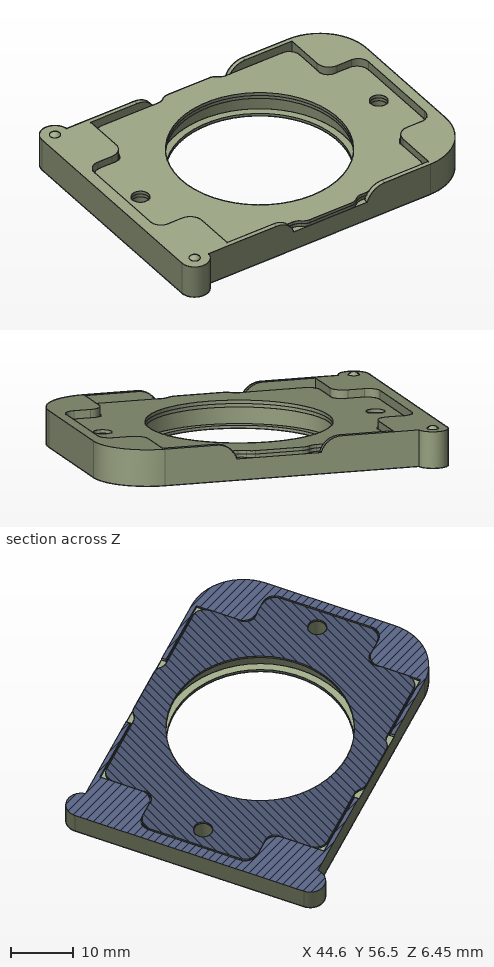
import cadquery as cq
import math

frame_length = 56.45
frame_width = 40.3
frame_height = 6.0
rear_edge_y = 28.1
front_edge_y = rear_edge_y - frame_length
rear_corner_radius = 9.0

overall_width = 44.6
ear_radius = 2.5
ear_x = overall_width / 2 - ear_radius
ear_y = front_edge_y + ear_radius
stud_radius = 0.9
stud_height = 0.45

plate_thickness = 0.55
plate_count = 2
pocket_floor_z = 3.5
pocket_depth = frame_height - pocket_floor_z

wing_half_length = 19.3
tongue_half_width = 9.95

pocket_wing_half_width = 19.35
pocket_tongue_half_length = 26.3
pocket_tongue_radius = 2.0
pocket_inner_radius = 2.25

plate_wing_half_width = 19.15
plate_tongue_half_length = 26.15
plate_tongue_radius = 2.25
plate_inner_radius = 1.7
plate_wing_radius = 2.0
tab_tip_x = frame_width / 2
tab_tip_half_length = 3.95
tab_blend_radius = 2.0

notch_top_half_length = 10.4
notch_radius = 3.5

opening_diameter = 29.9
seat_diameter = 32.4
seat_floor_z = 0.5
small_hole_diameter = 3.0
small_hole_y = 22.85
axis_point = [(0, 0)]
small_hole_points = [(0, small_hole_y), (0, -small_hole_y)]


def arc_run(radius, rise):
    """Distance along the tangent at which an arc has departed from it by `rise`."""
    return math.sqrt(radius**2 - (radius - rise) ** 2)


def centred_block(width, length, height):
    """Block centred on the Z axis and standing on the XY plane."""
    return cq.Workplane("XY").box(width, length, height, centered=(True, True, False))


def cross_prism(wing_half_width, tongue_half_length, tongue_radius, inner_radius, height):
    """Cross-shaped prism with rounded tongues, rounded inner corners and sharp wing corners."""
    wings = centred_block(2 * wing_half_width, 2 * wing_half_length, height)
    tongues = centred_block(2 * tongue_half_width, 2 * tongue_half_length, height)
    cross = wings.union(tongues.edges("|Z").fillet(tongue_radius))

    box_x = (tongue_half_width + wing_half_width) / 2
    box_y = (wing_half_length + tongue_half_length - tongue_radius) / 2
    inner_corners = cq.selectors.BoxSelector((-box_x, -box_y, 0), (box_x, box_y, height))
    return cross.edges("|Z").edges(inner_corners).fillet(inner_radius)


def drill(body, diameter, points, bottom_z, top_z):
    """Cut vertical round holes between two heights."""
    cutter = cq.Workplane("XY").workplane(offset=bottom_z).pushPoints(points)
    return body.cut(cutter.circle(diameter / 2).extrude(top_z - bottom_z))


def frame_blank():
    """Solid slab with large rear corner radii and an ear at each front corner."""
    half_width = frame_width / 2
    ear_tip_x = ear_x + ear_radius
    ear_join_y = ear_y + math.sqrt(ear_radius**2 - (half_width - ear_x) ** 2)
    return (
        cq.Workplane("XY")
        .moveTo(-ear_x, front_edge_y)
        .lineTo(ear_x, front_edge_y)
        .threePointArc((ear_tip_x, ear_y), (half_width, ear_join_y))
        .lineTo(half_width, rear_edge_y)
        .lineTo(-half_width, rear_edge_y)
        .lineTo(-half_width, ear_join_y)
        .threePointArc((-ear_tip_x, ear_y), (-ear_x, front_edge_y))
        .close()
        .extrude(frame_height)
        .edges("|Z and >Y")
        .fillet(rear_corner_radius)
    )


def notch_cutter():
    """Prism across the frame with a convex arc at each end leading down to the notch floor."""
    middle_drop = pocket_depth / 2
    middle_y = notch_top_half_length - arc_run(notch_radius, middle_drop)
    middle_z = frame_height - middle_drop
    floor_y = notch_top_half_length - arc_run(notch_radius, pocket_depth)
    return (
        cq.Workplane("YZ")
        .moveTo(-notch_top_half_length, frame_height)
        .threePointArc((-middle_y, middle_z), (-floor_y, pocket_floor_z))
        .lineTo(floor_y, pocket_floor_z)
        .threePointArc((middle_y, middle_z), (notch_top_half_length, frame_height))
        .close()
        .extrude(frame_width / 2, both=True)
    )


def stud(x):
    """Spherical cap standing on an ear."""
    sphere_radius = (stud_radius**2 + stud_height**2) / (2 * stud_height)
    return (
        cq.Workplane("XZ")
        .lineTo(stud_radius, 0)
        .radiusArc((0, stud_height), -sphere_radius)
        .close()
        .revolve(360, (0, 0), (0, 1))
        .translate((x, ear_y, frame_height))
    )


def make_frame():
    """Frame with the plate pocket, side notches, stepped opening, small holes and studs."""
    pocket = cross_prism(
        pocket_wing_half_width,
        pocket_tongue_half_length,
        pocket_tongue_radius,
        pocket_inner_radius,
        pocket_depth,
    ).translate((0, 0, pocket_floor_z))
    body = frame_blank().cut(pocket).cut(notch_cutter())
    body = drill(body, opening_diameter, axis_point, 0, seat_floor_z)
    body = drill(body, seat_diameter, axis_point, seat_floor_z, pocket_floor_z)
    body = drill(body, small_hole_diameter, small_hole_points, 0, pocket_floor_z)
    for x in (-ear_x, ear_x):
        body = body.union(stud(x))
    return body


def plate_tabs():
    """Bar across the plate whose ends blend into the plate edges through S-curves."""
    rise = (tab_tip_x - plate_wing_half_width) / 2
    run = arc_run(tab_blend_radius, rise)
    half_angle = math.asin(run / tab_blend_radius) / 2
    mid_run = tab_blend_radius * math.sin(half_angle)
    mid_rise = tab_blend_radius * (1 - math.cos(half_angle))
    root_y = tab_tip_half_length + 2 * run
    quarter = (
        cq.Workplane("XY")
        .lineTo(tab_tip_x, 0)
        .lineTo(tab_tip_x, tab_tip_half_length)
        .threePointArc(
            (tab_tip_x - mid_rise, tab_tip_half_length + mid_run),
            (tab_tip_x - rise, tab_tip_half_length + run),
        )
        .threePointArc(
            (plate_wing_half_width + mid_rise, root_y - mid_run),
            (plate_wing_half_width, root_y),
        )
        .lineTo(0, root_y)
        .close()
        .extrude(plate_thickness)
    )
    half = quarter.union(quarter.mirror("XZ"))
    return half.union(half.mirror("YZ"))


def make_plate(bottom_z):
    """Cross-shaped plate with rounded wings, side tabs and three holes."""
    plate = cross_prism(
        plate_wing_half_width,
        plate_tongue_half_length,
        plate_tongue_radius,
        plate_inner_radius,
        plate_thickness,
    )
    plate = plate.edges("|Z and (<X or >X)").fillet(plate_wing_radius)
    plate = plate.union(plate_tabs())
    plate = drill(plate, opening_diameter, axis_point, 0, plate_thickness)
    plate = drill(plate, small_hole_diameter, small_hole_points, 0, plate_thickness)
    return plate.translate((0, 0, bottom_z))


frame = make_frame()
plates = [make_plate(pocket_floor_z + level * plate_thickness) for level in range(plate_count)]
result = cq.Compound.makeCompound(
    [frame.solids().val(), *[plate.solids().val() for plate in plates]]
)